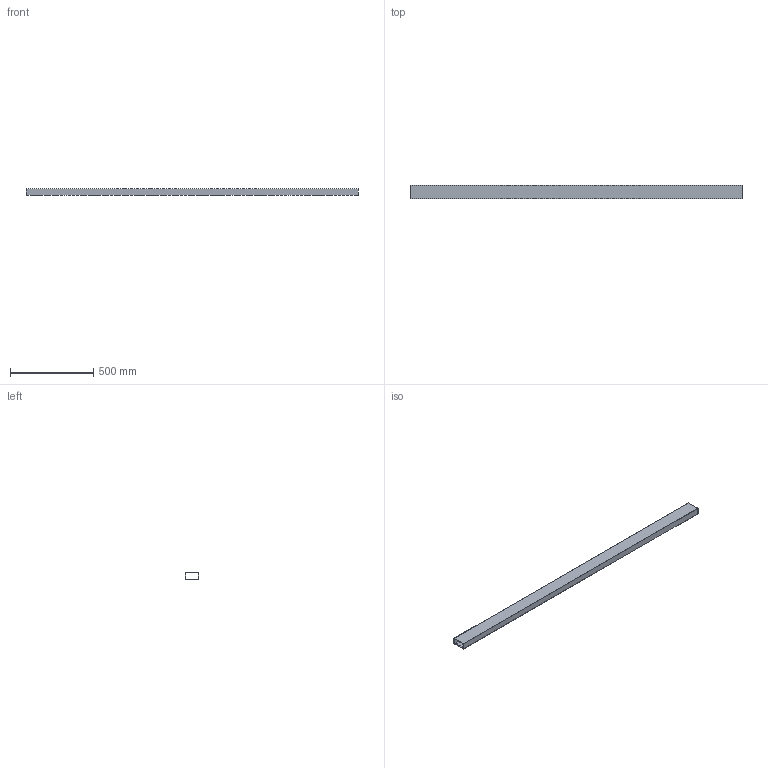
import cadquery as cq

length = 2000.0
width = 80.0
height = 40.0
wall = 1.5

column_pitch = 25.0
row_pitch = 25.0
row_count = 3
hole_diameter = 8.0
slot_length = 14.0
slot_width = 7.0

pair_pitch = 2 * column_pitch
pair_count = int(length / pair_pitch)


def hollow_section():
    """Thin-walled rectangular tube."""
    outer = cq.Workplane("XY").box(length, width, height)
    bore = cq.Workplane("XY").box(length, width - 2 * wall, height - 2 * wall)
    return outer.cut(bore)


def floor_grid(x_offset):
    """Every second perforation column, shifted along X from the middle of the floor."""
    floor_plane = cq.Workplane("XY", origin=(x_offset, 0, -height / 2))
    return floor_plane.rarray(pair_pitch, row_pitch, pair_count, row_count)


def round_holes():
    """Cutters for the round holes, whose columns start next to the -X end."""
    return floor_grid(-column_pitch / 2).circle(hole_diameter / 2).extrude(wall)


def long_slots():
    """Cutters for the slots along X, midway between the columns of round holes."""
    return floor_grid(column_pitch / 2).slot2D(slot_length, slot_width).extrude(wall)


result = hollow_section().cut(round_holes()).cut(long_slots())